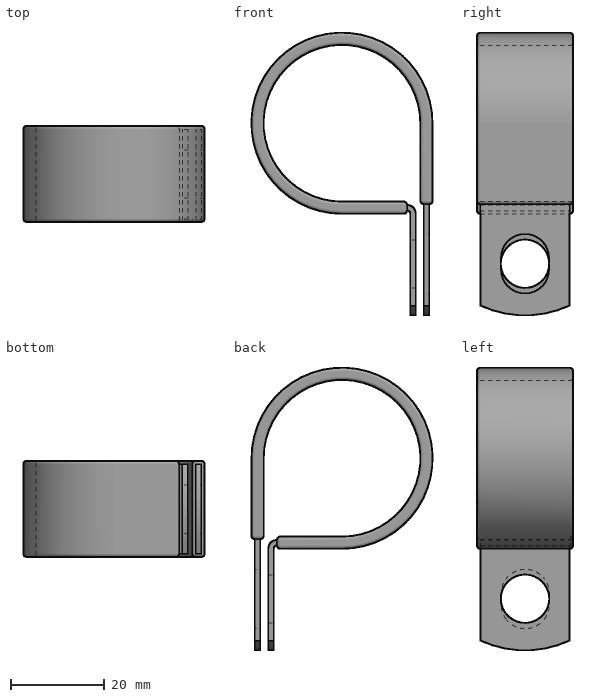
import cadquery as cq
import math

total_height = 60.7
loop_radius = 19.46
cushion_cover = 0.7
strap_thickness = 1.2
total_width = 20.65
cushion_drop = 17.35
cushion_reach = 13.95
bend_inner_radius = 0.65
hole_diameter = 10.3
slot_length = 12.75
hole_height = 11.1
tip_rise = 2.1

cushion_thickness = strap_thickness + 2 * cushion_cover
strap_width = total_width - 2 * cushion_cover
strap_radius = loop_radius - cushion_cover
bend_outer_radius = bend_inner_radius + strap_thickness
leg_bottom = loop_radius - total_height
tip_corner = leg_bottom + tip_rise


def loop_band(outer_radius, thickness, width, reach, drop):
    """Three-quarter loop with a straight horizontal and a straight vertical run."""
    inner_radius = outer_radius - thickness
    outer_mid = outer_radius * math.sqrt(0.5)
    inner_mid = inner_radius * math.sqrt(0.5)
    return (
        cq.Workplane("XZ")
        .moveTo(reach, -outer_radius)
        .lineTo(0, -outer_radius)
        .threePointArc((-outer_mid, outer_mid), (outer_radius, 0))
        .lineTo(outer_radius, -drop)
        .lineTo(inner_radius, -drop)
        .lineTo(inner_radius, 0)
        .threePointArc((-inner_mid, inner_mid), (0, -inner_radius))
        .lineTo(reach, -inner_radius)
        .close()
        .extrude(width / 2, both=True)
    )


def bent_leg():
    """Quarter bend from the horizontal run down into the inner leg."""
    bend_top = -strap_radius + strap_thickness
    bend_center_z = -strap_radius - bend_inner_radius
    inner_face = cushion_reach + bend_inner_radius
    outer_face = cushion_reach + bend_outer_radius
    return (
        cq.Workplane("XZ")
        .moveTo(cushion_reach, bend_top)
        .radiusArc((outer_face, bend_center_z), bend_outer_radius)
        .lineTo(outer_face, leg_bottom)
        .lineTo(inner_face, leg_bottom)
        .lineTo(inner_face, bend_center_z)
        .radiusArc((cushion_reach, -strap_radius), -bend_inner_radius)
        .close()
        .extrude(strap_width / 2, both=True)
    )


def leg_outline():
    """Strap outline across Y, with rounded tip, spanning the whole part along X."""
    half_width = strap_width / 2
    return (
        cq.Workplane("YZ")
        .moveTo(-half_width, loop_radius)
        .lineTo(-half_width, tip_corner)
        .threePointArc((0, leg_bottom), (half_width, tip_corner))
        .lineTo(half_width, loop_radius)
        .close()
        .extrude(loop_radius, both=True)
    )


cushion = loop_band(loop_radius, cushion_thickness, total_width, cushion_reach, cushion_drop)
cushion = cushion.edges().fillet(cushion_cover)

def hole_plane(x):
    """Workplane facing +X, centred on the leg holes."""
    return cq.Workplane("YZ", origin=(x, 0, leg_bottom + hole_height))


strap = loop_band(strap_radius, strap_thickness, strap_width, cushion_reach, -leg_bottom)
strap = strap.union(bent_leg()).intersect(leg_outline())

gap_start = cushion_reach + bend_outer_radius
round_hole = hole_plane(cushion_reach).circle(hole_diameter / 2).extrude(gap_start - cushion_reach)
slot = hole_plane(gap_start).slot2D(slot_length, hole_diameter, 90).extrude(loop_radius - gap_start)
strap = strap.cut(round_hole).cut(slot)

result = cushion.union(strap)